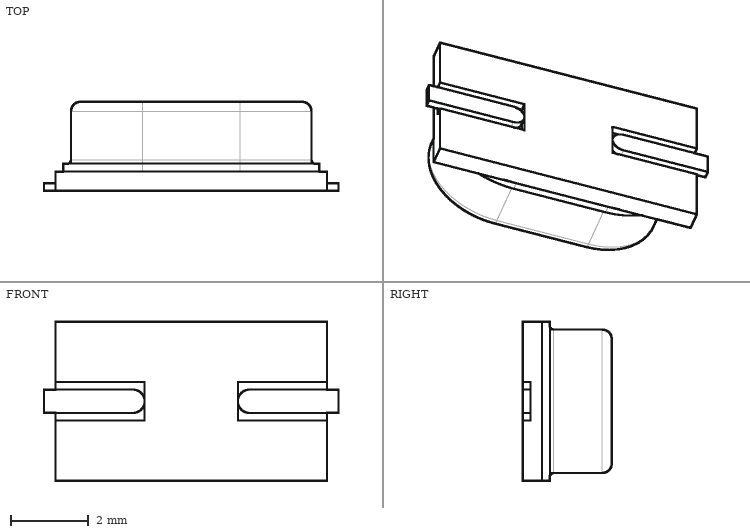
import cadquery as cq

plate_length = 7.0
plate_height = 4.1
plate_thickness = 0.5

overall_length = 7.6
lead_width = 0.6
lead_thickness = 0.2
pocket_length = 2.3
pocket_width = 1.0
pocket_depth = lead_thickness
pocket_inner_x = plate_length / 2 - pocket_length

can_depth = 1.8
flange_height = plate_height
flange_thickness = 0.2
flange_overhang = 0.2
cap_height = flange_height - 2 * flange_overhang
straight_length = 2.5
cap_length = straight_length + cap_height
top_fillet = 0.25
foot_fillet = 0.1

SIDES = (-1, 1)


def box_from_mounting_face(length, thickness, height, center_x):
    """Box centred on center_x and Z = 0, reaching from the mounting face towards +Y."""
    return (
        cq.Workplane("XY")
        .box(length, thickness, height, centered=(True, False, True))
        .translate((center_x, 0, 0))
    )


def obround_on_plate(height, thickness):
    """Obround slab with its round ends along X, standing on the back face of the plate."""
    return (
        cq.Workplane("XZ", origin=(0, plate_thickness, 0))
        .slot2D(straight_length + height, height)
        .extrude(-thickness)
    )


def make_plate():
    """Rectangular plate with a pocket, open at the plate's edge, for each lead."""
    plate = box_from_mounting_face(plate_length, plate_thickness, plate_height, 0)
    pocket_center_x = pocket_inner_x + pocket_length / 2
    for side in SIDES:
        plate = plate.cut(
            box_from_mounting_face(pocket_length, pocket_depth, pocket_width, side * pocket_center_x)
        )
    return plate


def make_can():
    """Flange and cap as one solid, rounded at the top rim and at the foot of the cap wall."""
    flange = obround_on_plate(flange_height, flange_thickness)
    cap = obround_on_plate(cap_height, can_depth)
    cap = cap.faces(">Y").edges().fillet(top_fillet)

    foot_y = plate_thickness + flange_thickness
    slab_x = (cap_length + flange_overhang) / 2
    slab_y = flange_thickness / 2
    slab_z = (cap_height + flange_overhang) / 2
    foot_edges = cq.selectors.BoxSelector(
        (-slab_x, foot_y - slab_y, -slab_z),
        (slab_x, foot_y + slab_y, slab_z),
        boundingbox=True,
    )
    return flange.union(cap).edges(foot_edges).fillet(foot_fillet)


def make_lead(side):
    """Flat lead with a square outer end and a half-round tip that touches the pocket end."""
    outer_x = side * overall_length / 2
    tip_x = side * pocket_inner_x
    half_width = lead_width / 2
    tip_start_x = side * (pocket_inner_x + half_width)
    return (
        cq.Workplane("XZ")
        .moveTo(outer_x, -half_width)
        .lineTo(tip_start_x, -half_width)
        .threePointArc((tip_x, 0), (tip_start_x, half_width))
        .lineTo(outer_x, half_width)
        .close()
        .extrude(-lead_thickness)
    )


plate = make_plate()
can = make_can()
leads = [make_lead(side) for side in SIDES]

result = cq.Compound.makeCompound(
    [plate.solids().val(), can.solids().val(), *[lead.val() for lead in leads]]
)